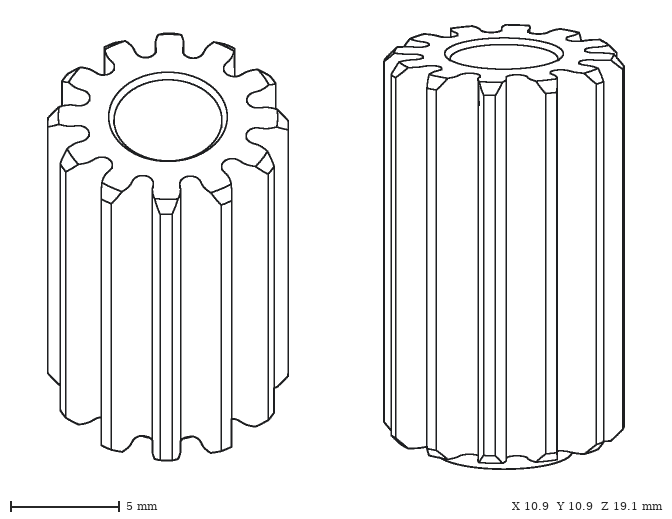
import cadquery as cq
import math

total_height = 19.05
boss_height = 0.8
boss_diameter = 6.32
bore_diameter = 5.0
bore_chamfer = 0.25
tip_chamfer = 0.5

tooth_count = 12
gear_module = 0.8
pressure_angle = math.radians(20)
tip_radius = 5.56
root_radius = 3.77
flank_points = 7

gear_height = total_height - boss_height
pitch_radius = gear_module * tooth_count / 2
base_radius = pitch_radius * math.cos(pressure_angle)
tooth_pitch = 2 * math.pi / tooth_count


def polar(radius, angle):
    return (radius * math.cos(angle), radius * math.sin(angle))


def involute(angle):
    return math.tan(angle) - angle


def gap_half_angle(radius):
    """Half the angle of the gap between two teeth on their involute flanks."""
    flank_angle = math.acos(base_radius / radius)
    return tooth_pitch / 4 - involute(pressure_angle) + involute(flank_angle)


def flank(gap_angle, side):
    """Involute from base circle to tip, on one side (-1 or +1) of a gap."""
    step = (tip_radius - base_radius) / (flank_points - 1)
    radii = [base_radius + i * step for i in range(flank_points)]
    return [polar(r, gap_angle + side * gap_half_angle(r)) for r in radii]


def gear_outline():
    wall_angle = gap_half_angle(base_radius)
    round_center = root_radius / (1 - math.sin(wall_angle))
    wall_end = round_center * math.cos(wall_angle)

    outline = cq.Workplane("XY", origin=(0, 0, boss_height))
    outline = outline.moveTo(*flank(0, -1)[-1])
    for i in range(tooth_count):
        gap = i * tooth_pitch
        next_gap = gap + tooth_pitch
        falling_flank = flank(gap, -1)[::-1]
        rising_flank = flank(gap, 1)
        outline = (
            outline.spline(falling_flank[1:], includeCurrent=True)
            .lineTo(*polar(wall_end, gap - wall_angle))
            .threePointArc(polar(root_radius, gap), polar(wall_end, gap + wall_angle))
            .lineTo(*rising_flank[0])
            .spline(rising_flank[1:], includeCurrent=True)
            .threePointArc(polar(tip_radius, gap + tooth_pitch / 2), flank(next_gap, -1)[-1])
        )
    return outline.close()


def chamfered_blank():
    """Cylinder whose end chamfers bevel the tooth tips."""
    return (
        cq.Workplane("XY", origin=(0, 0, boss_height))
        .circle(tip_radius)
        .extrude(gear_height)
        .faces("<Z or >Z")
        .chamfer(tip_chamfer)
    )


gear = gear_outline().extrude(gear_height).intersect(chamfered_blank())
boss = cq.Workplane("XY").circle(boss_diameter / 2).extrude(boss_height)
bore = cq.Workplane("XY").circle(bore_diameter / 2).extrude(total_height)

bore_mouth = (
    cq.Workplane("XY", origin=(0, 0, total_height))
    .circle(bore_diameter / 2 + bore_chamfer)
    .extrude(-bore_chamfer, taper=45)
)

result = gear.union(boss).cut(bore).cut(bore_mouth)